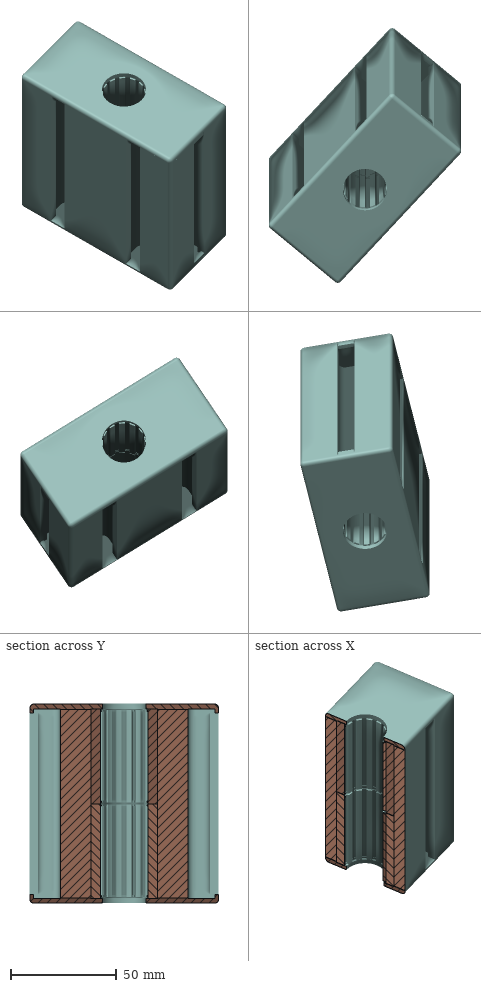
import cadquery as cq

WIDTH = 90.0
DEPTH = 45.0
HEIGHT = 95.0
EDGE_RADIUS = 2.0

COVER_THICKNESS = 2.5
COVER_BORE = 21.0
TAB_THICKNESS = 2.0
TAB_HEIGHT = 2.0
TAB_CORNER_RADIUS = 0.8

SLOT_WIDTH = 8.2
LIP_THICKNESS = 4.0
CAVITY_WIDTH = 12.9
SLOT_DEPTH = 14.5
CAVITY_RADIUS = 3.6

SLEEVE_DIAMETER = 32.0
LINER_DIAMETER = 23.0
LINER_RECESS = 0.5
LINER_BORE = 20.0
GROOVE_COUNT = 13
GROOVE_WIDTH = 2.3
FIRST_GROOVE_ANGLE = 90.0
SHALLOW_GROOVE_DIAMETER = 22.0
SHALLOW_END_LENGTH = 0.9
DEEP_GROOVE_DIAMETER = 22.6
SPLIT_WIDTH = 0.8
GROOVE_PITCH_ANGLE = 360 / GROOVE_COUNT

PROFILE_LENGTH = HEIGHT - 2 * COVER_THICKNESS
PROFILE_TOP = PROFILE_LENGTH / 2
BEARING_LENGTH = PROFILE_LENGTH / 2
LINER_LENGTH = BEARING_LENGTH - 2 * LINER_RECESS
SLOT_SPACING = WIDTH / 2
BEARING_CENTERS = (-BEARING_LENGTH / 2, BEARING_LENGTH / 2)


def upright_cylinder(diameter, length):
    """Cylinder on the Z axis, centred on the origin."""
    return cq.Workplane("XY").circle(diameter / 2).extrude(length / 2, both=True)


def slot_cutter():
    """T-slot volume that opens toward -Y, with the opening on the plane y = 0."""
    opening = cq.Workplane("XY").box(SLOT_WIDTH, 2 * LIP_THICKNESS, PROFILE_LENGTH)
    cavity = (
        cq.Workplane("XY")
        .box(CAVITY_WIDTH, SLOT_DEPTH - LIP_THICKNESS, PROFILE_LENGTH)
        .edges("|Z and >Y")
        .fillet(CAVITY_RADIUS)
        .translate((0, (LIP_THICKNESS + SLOT_DEPTH) / 2, 0))
    )
    return opening.union(cavity)


def make_profile():
    """Extruded profile with six T-slots and a bore for the bearings."""
    profile = cq.Workplane("XY").box(WIDTH, DEPTH, PROFILE_LENGTH).edges("|Z").fillet(EDGE_RADIUS)
    profile = profile.cut(upright_cylinder(SLEEVE_DIAMETER, PROFILE_LENGTH))
    broad_side_slot = slot_cutter().translate((0, -DEPTH / 2, 0))
    narrow_side_slot = slot_cutter().translate((0, -WIDTH / 2, 0))
    for half_turn in (0, 180):
        for x in (-SLOT_SPACING / 2, SLOT_SPACING / 2):
            slot = broad_side_slot.translate((x, 0, 0))
            profile = profile.cut(slot.rotate((0, 0, 0), (0, 0, 1), half_turn))
        profile = profile.cut(narrow_side_slot.rotate((0, 0, 0), (0, 0, 1), half_turn - 90))
    return profile


def make_top_cover():
    """Rounded end plate with a tab that closes the end of each narrow-side slot."""
    cover = (
        cq.Workplane("XY")
        .box(WIDTH, DEPTH, COVER_THICKNESS)
        .edges("|Z or >Z")
        .fillet(EDGE_RADIUS)
        .translate((0, 0, PROFILE_TOP + COVER_THICKNESS / 2))
    )
    tab = (
        cq.Workplane("XY")
        .box(TAB_THICKNESS, SLOT_WIDTH, TAB_HEIGHT)
        .edges("|Z and <X")
        .fillet(TAB_CORNER_RADIUS)
        .translate(((TAB_THICKNESS - WIDTH) / 2, 0, PROFILE_TOP - TAB_HEIGHT / 2))
    )
    cover = cover.union(tab).union(tab.mirror("YZ"))
    return cover.cut(upright_cylinder(COVER_BORE, 2 * HEIGHT))


def make_sleeve(center_z):
    """Outer sleeve of one bearing."""
    sleeve = upright_cylinder(SLEEVE_DIAMETER, BEARING_LENGTH)
    return sleeve.cut(upright_cylinder(LINER_DIAMETER, BEARING_LENGTH)).translate((0, 0, center_z))


def radial_slit(floor_diameter, width, length, angle):
    """Upright slab that reaches from the Z axis out to a given diameter."""
    reach = floor_diameter / 2
    slit = cq.Workplane("XY").box(reach, width, length).translate((reach / 2, 0, 0))
    return slit.rotate((0, 0, 0), (0, 0, 1), angle)


def make_liner(center_z):
    """Split liner of one bearing, with grooves along its bore that are shallower at both ends."""
    liner = upright_cylinder(LINER_DIAMETER, LINER_LENGTH)
    liner = liner.cut(upright_cylinder(LINER_BORE, LINER_LENGTH))
    deep_length = LINER_LENGTH - 2 * SHALLOW_END_LENGTH
    for index in range(GROOVE_COUNT):
        angle = FIRST_GROOVE_ANGLE + index * GROOVE_PITCH_ANGLE
        liner = liner.cut(radial_slit(SHALLOW_GROOVE_DIAMETER, GROOVE_WIDTH, LINER_LENGTH, angle))
        liner = liner.cut(radial_slit(DEEP_GROOVE_DIAMETER, GROOVE_WIDTH, deep_length, angle))
    split_angle = FIRST_GROOVE_ANGLE - GROOVE_PITCH_ANGLE
    split_reach = LINER_DIAMETER + SPLIT_WIDTH
    liner = liner.cut(radial_slit(split_reach, SPLIT_WIDTH, LINER_LENGTH, split_angle))
    return liner.translate((0, 0, center_z))


profile = make_profile()
top_cover = make_top_cover()
bottom_cover = top_cover.mirror("XY")
sleeves = [make_sleeve(z) for z in BEARING_CENTERS]
liners = [make_liner(z) for z in BEARING_CENTERS]

bodies = [profile, top_cover, bottom_cover, *sleeves, *liners]
result = cq.Compound.makeCompound([body.val() for body in bodies])